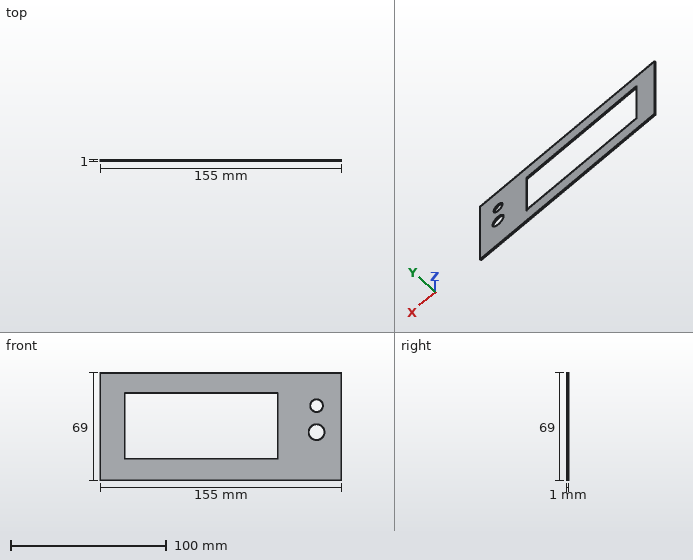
import cadquery as cq

panel_width = 155.0
panel_height = 69.0
panel_thickness = 1.0

window_width = 98.0
window_height = 42.0
window_left = 16.0
window_bottom = 14.0

hole_column_x = 139.0
upper_hole_diameter = 8.0
upper_hole_z = 48.0
lower_hole_diameter = 10.0
lower_hole_z = 31.0


def plate(width, height, left=0.0, bottom=0.0):
    """Rectangular block through the panel thickness, placed by its lower left corner."""
    block = cq.Workplane("XY").box(width, panel_thickness, height, centered=False)
    return block.translate((left, 0, bottom))


def round_cutter(diameter, x, z):
    """Cylinder along Y through the panel thickness."""
    return (
        cq.Workplane("XZ")
        .center(x, z)
        .circle(diameter / 2)
        .extrude(-panel_thickness)
    )


panel = plate(panel_width, panel_height)
panel = panel.cut(plate(window_width, window_height, window_left, window_bottom))

for diameter, z in (
    (upper_hole_diameter, upper_hole_z),
    (lower_hole_diameter, lower_hole_z),
):
    panel = panel.cut(round_cutter(diameter, hole_column_x, z))

result = panel